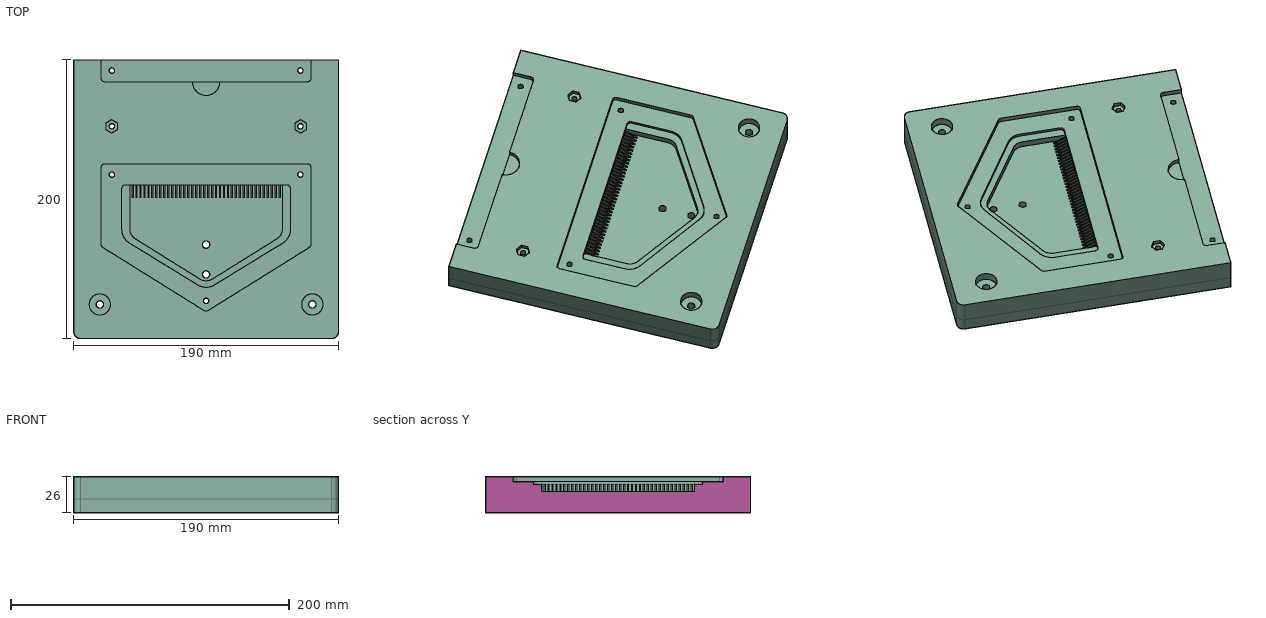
import cadquery as cq
WIDTH = 190.0
LENGTH = 200.0
LOWER_THICKNESS = 10.0
UPPER_THICKNESS = 15.99
TOP_Z = LOWER_THICKNESS + UPPER_THICKNESS
REAR_Y = LENGTH / 2
FRONT_CORNER_RADIUS = 5.08

COVER_HALF_WIDTH = 75.25
COVER_DEPTH = 3.6
COVER_Z = TOP_Z - COVER_DEPTH
COVER_CORNER_RADIUS = 2.54
STEP_LENGTH = 15.75
STEP_FRONT_Y = REAR_Y - STEP_LENGTH
COVER_BACK_Y = 25.4
COVER_SHOULDER_Y = -33.8
COVER_TIP_Y = -80.7

NOTCH_RADIUS = 9.8
NOTCH_DEPTH = 3.2

CHAMBER_BACK_Y = 10.4
SHELF_HALF_WIDTH = 60.5
SHELF_SHOULDER_Y = -28.0
SHELF_TIP_Y = -65.1
SHELF_DROP = 2.0
SHELF_Z = COVER_Z - SHELF_DROP
SHELF_BACK_RADIUS = 2.8
SHELF_FRONT_RADIUS = 11.5
CHAMBER_HALF_WIDTH = 54.7
CHAMBER_SHOULDER_Y = -25.9
CHAMBER_TIP_Y = -60.0
CHAMBER_DROP = 5.0
CHAMBER_Z = SHELF_Z - CHAMBER_DROP
CHAMBER_FRONT_RADIUS = 8.5

RIB_COUNT = 38
RIB_PITCH = 2.85
RIB_WIDTH = 1.0
RIB_LENGTH = 9.1

SCREW_DIAMETER = 3.73
SCREW_X = 67.6
SCREW_EDGE_GAP = 7.7
COVER_TIP_SCREW_Y = -72.8
NUT_X = 67.8
NUT_Y = 52.3
NUT_ACROSS_CORNERS = 9.6
NUT_DEPTH = 3.0

CHAMBER_HOLE_DIAMETER = 5.16
CHAMBER_HOLE_Y = -32.5
CHAMBER_TIP_HOLE_DIAMETER = 5.0
CHAMBER_TIP_HOLE_Y = -53.9

MOUNT_X = 76.2
MOUNT_Y = -75.4
MOUNT_DIAMETER = 5.08
MOUNT_BORE_DIAMETER = 15.24
MOUNT_BORE_DEPTH = 6.2


def plate(bottom_z, thickness):
    """Rectangular plate with rounded front vertical edges."""
    slab = cq.Workplane("XY").box(WIDTH, LENGTH, thickness, centered=(True, True, False))
    slab = slab.edges("|Z and <Y").fillet(FRONT_CORNER_RADIUS)
    return slab.translate((0, 0, bottom_z))


def home_plate(half_width, back_y, shoulder_y, tip_y, floor_z, back_radius, front_radius):
    """Pentagonal cutter with its tip toward -Y, reaching from floor_z to the top face."""
    outline = [
        (-half_width, back_y),
        (-half_width, shoulder_y),
        (0, tip_y),
        (half_width, shoulder_y),
        (half_width, back_y),
    ]
    prism = cq.Workplane("XY").workplane(offset=floor_z).polyline(outline).close()
    prism = prism.extrude(TOP_Z - floor_z)
    prism = prism.edges("|Z").edges("not(>Y)").fillet(front_radius)
    if back_radius > 0:
        prism = prism.edges("|Z and >Y").fillet(back_radius)
    return prism


def round_hole(x, y, diameter, bottom_z=0.0):
    """Round cutter reaching from bottom_z to the top face."""
    axis = cq.Workplane("XY").workplane(offset=bottom_z).center(x, y)
    return axis.circle(diameter / 2).extrude(TOP_Z - bottom_z)


def rear_step():
    """Cutter for the step along the rear edge."""
    step = cq.Workplane("XY").box(
        2 * COVER_HALF_WIDTH, STEP_LENGTH, COVER_DEPTH, centered=(True, False, False)
    )
    step = step.edges("|Z and <Y").fillet(COVER_CORNER_RADIUS)
    return step.translate((0, STEP_FRONT_Y, COVER_Z))


def finger_notch():
    """Cutter for the half-round notch, which stops at the step and is shallower than it."""
    disc = round_hole(0, STEP_FRONT_Y, 2 * NOTCH_RADIUS, TOP_Z - NOTCH_DEPTH)
    return disc.cut(rear_step())


def comb():
    """Wedge ribs that slope from the shelf level down to the chamber floor."""
    profile = [
        (CHAMBER_BACK_Y, CHAMBER_Z),
        (CHAMBER_BACK_Y, SHELF_Z),
        (CHAMBER_BACK_Y - RIB_LENGTH, CHAMBER_Z),
    ]
    rib = cq.Workplane("YZ").polyline(profile).close().extrude(RIB_WIDTH / 2, both=True)
    first_x = -RIB_PITCH * (RIB_COUNT - 1) / 2
    ribs = [rib.translate((first_x + i * RIB_PITCH, 0, 0)).val() for i in range(RIB_COUNT)]
    return cq.Workplane(obj=cq.Compound.makeCompound(ribs))


def chamber():
    """Cutter for the deep chamber, leaving the comb standing; its back corners are square."""
    cavity = home_plate(
        CHAMBER_HALF_WIDTH, CHAMBER_BACK_Y, CHAMBER_SHOULDER_Y, CHAMBER_TIP_Y, CHAMBER_Z,
        back_radius=0, front_radius=CHAMBER_FRONT_RADIUS,
    )
    return cavity.cut(comb())


def nut_pocket(x):
    """Hexagonal cutter with two corners along Y."""
    hexagon = cq.Workplane("XY").polygon(6, NUT_ACROSS_CORNERS).extrude(NUT_DEPTH)
    hexagon = hexagon.rotate((0, 0, 0), (0, 0, 1), 90)
    return hexagon.translate((x, NUT_Y, TOP_Z - NUT_DEPTH))


def recess_cutters():
    """The rear step, its notch and the nested home-plate recesses."""
    cover = home_plate(
        COVER_HALF_WIDTH, COVER_BACK_Y, COVER_SHOULDER_Y, COVER_TIP_Y, COVER_Z,
        back_radius=COVER_CORNER_RADIUS, front_radius=COVER_CORNER_RADIUS,
    )
    shelf = home_plate(
        SHELF_HALF_WIDTH, CHAMBER_BACK_Y, SHELF_SHOULDER_Y, SHELF_TIP_Y, SHELF_Z,
        back_radius=SHELF_BACK_RADIUS, front_radius=SHELF_FRONT_RADIUS,
    )
    return [rear_step(), finger_notch(), cover, shelf, chamber()]


def hole_cutters():
    """Through holes with their nut pockets and counterbores, mirrored about X = 0."""
    cutters = [
        round_hole(0, COVER_TIP_SCREW_Y, SCREW_DIAMETER),
        round_hole(0, CHAMBER_HOLE_Y, CHAMBER_HOLE_DIAMETER),
        round_hole(0, CHAMBER_TIP_HOLE_Y, CHAMBER_TIP_HOLE_DIAMETER),
    ]
    for side in (-1, 1):
        for y in (REAR_Y - SCREW_EDGE_GAP, NUT_Y, COVER_BACK_Y - SCREW_EDGE_GAP):
            cutters.append(round_hole(side * SCREW_X, y, SCREW_DIAMETER))
        cutters.append(nut_pocket(side * NUT_X))
        cutters.append(round_hole(side * MOUNT_X, MOUNT_Y, MOUNT_DIAMETER))
        bore_z = TOP_Z - MOUNT_BORE_DEPTH
        cutters.append(round_hole(side * MOUNT_X, MOUNT_Y, MOUNT_BORE_DIAMETER, bore_z))
    return cutters


result = plate(0, LOWER_THICKNESS).union(plate(LOWER_THICKNESS, UPPER_THICKNESS), clean=False)
for cutter in recess_cutters() + hole_cutters():
    result = result.cut(cutter, clean=False)